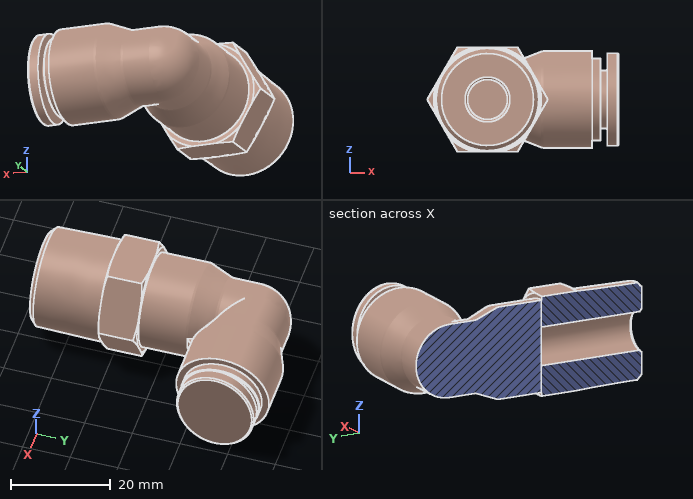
import cadquery as cq
import math


bend_diameter = 15.5
arm_diameter = 19.5
arm_length = 21.0
cone_start = 5.95
cone_end = 11.0
cone_blend_radius = 1.3
web_thickness = 2.45
web_reach = 20.5
web_half_span = 0.8

hex_across_flats = 21.0
hex_length = 8.1
hex_chamfer_diameter = 21.65
hex_chamfer_angle = 20.0
overall_length = 53.75
stud_end = overall_length - arm_diameter / 2
thread_diameter = hex_across_flats
thread_end_diameter = 20.55
thread_chamfer = 1.0
bore_diameter = 8.0
bore_mouth_diameter = 9.05

collar_diameter = 16.5
collar_length = 1.8
collar_chamfer = 0.15

button_end = 26.4
neck_diameter = 11.7
neck_length = 1.25
neck_fillet = 0.15
flange_width = 16.1
flange_height = 18.65
flange_chamfer = 0.3

collar_end = arm_length + collar_length
flange_start = collar_end + neck_length


def straight_arm():
    """Stepped arm along +X, starting at the bend centre."""
    bend_radius = bend_diameter / 2
    arm_radius = arm_diameter / 2
    arm = (
        cq.Workplane("XY")
        .lineTo(0, bend_radius)
        .lineTo(cone_start, bend_radius)
        .lineTo(cone_end, arm_radius)
        .lineTo(arm_length, arm_radius)
        .lineTo(arm_length, 0)
        .close()
        .revolve(360, (0, 0, 0), (1, 0, 0))
    )
    cone_edges = cq.selectors.BoxSelector(
        (cone_start / 2, -arm_diameter, -arm_diameter),
        (cone_end + cone_start / 2, arm_diameter, arm_diameter),
    )
    return arm.edges("%CIRCLE").edges(cone_edges).fillet(cone_blend_radius)


def crotch_web():
    """Flat web that fills the inner corner between the two arms."""
    web_leg = web_reach / 2
    return (
        cq.Workplane("XY")
        .lineTo(web_leg - web_half_span, -web_leg - web_half_span)
        .lineTo(web_leg + web_half_span, -web_leg + web_half_span)
        .close()
        .extrude(web_thickness / 2, both=True)
    )


def elbow_body():
    """Two equal arms joined by a ball-shaped bend and a web in the crotch."""
    port_arm = straight_arm()
    stud_arm = straight_arm().rotate((0, 0, 0), (0, 0, 1), -90)
    bend_ball = cq.Workplane("XY").sphere(bend_diameter / 2)
    return port_arm.union(stud_arm).union(bend_ball).union(crotch_web())


def threaded_stud():
    """Hexagon, tapered thread and bore, built from the elbow's end towards -Y."""
    end_plane = cq.Workplane("XZ", origin=(0, -arm_length, 0))
    hex_corner_diameter = hex_across_flats / math.cos(math.pi / 6)
    hexagon = end_plane.polygon(6, hex_corner_diameter).extrude(hex_length)

    face_radius = hex_chamfer_diameter / 2
    corner_radius = hex_corner_diameter / 2
    corner_drop = (corner_radius - face_radius) * math.tan(math.radians(hex_chamfer_angle))
    hex_end = arm_length + hex_length
    chamfer_envelope = (
        cq.Workplane("XY")
        .moveTo(0, -arm_length)
        .lineTo(face_radius, -arm_length)
        .lineTo(corner_radius, -arm_length - corner_drop)
        .lineTo(corner_radius, -hex_end + corner_drop)
        .lineTo(face_radius, -hex_end)
        .lineTo(0, -hex_end)
        .close()
        .revolve(360, (0, 0, 0), (0, 1, 0))
    )
    hexagon = hexagon.intersect(chamfer_envelope)

    thread_base_radius = thread_diameter / 2
    thread_tip_radius = thread_end_diameter / 2
    thread = (
        cq.Workplane("XY")
        .moveTo(0, -hex_end)
        .lineTo(thread_base_radius, -hex_end)
        .lineTo(thread_tip_radius, -stud_end + thread_chamfer)
        .lineTo(thread_tip_radius - thread_chamfer, -stud_end)
        .lineTo(0, -stud_end)
        .close()
        .revolve(360, (0, 0, 0), (0, 1, 0))
    )

    bore = end_plane.circle(bore_diameter / 2).extrude(stud_end - arm_length)
    stud = hexagon.union(thread).cut(bore)
    mouth_chamfer = (bore_mouth_diameter - bore_diameter) / 2
    return stud.faces("<Y").edges(cq.selectors.RadiusNthSelector(0)).chamfer(mouth_chamfer)


def port_collar():
    """Ring seated on the elbow's port face."""
    port_face = cq.Workplane("YZ", origin=(arm_length, 0, 0))
    collar = port_face.circle(collar_diameter / 2).extrude(collar_length)
    return collar.edges(">X").chamfer(collar_chamfer)


def release_button():
    """Round neck on the collar, ending in an elliptical push flange."""
    collar_face = cq.Workplane("YZ", origin=(collar_end, 0, 0))
    neck = collar_face.circle(neck_diameter / 2).extrude(neck_length)
    flange = (
        cq.Workplane("YZ", origin=(flange_start, 0, 0))
        .ellipse(flange_width / 2, flange_height / 2)
        .extrude(button_end - flange_start)
        .edges(">X")
        .chamfer(flange_chamfer)
    )
    button = neck.union(flange)
    neck_root = cq.selectors.BoxSelector(
        (flange_start - neck_fillet, -neck_diameter, -neck_diameter),
        (flange_start + neck_fillet, neck_diameter, neck_diameter),
    )
    return button.edges("%CIRCLE").edges(neck_root).fillet(neck_fillet)


elbow = elbow_body()
stud = threaded_stud()
collar = port_collar()
button = release_button()

result = cq.Compound.makeCompound([elbow.val(), stud.val(), collar.val(), button.val()])